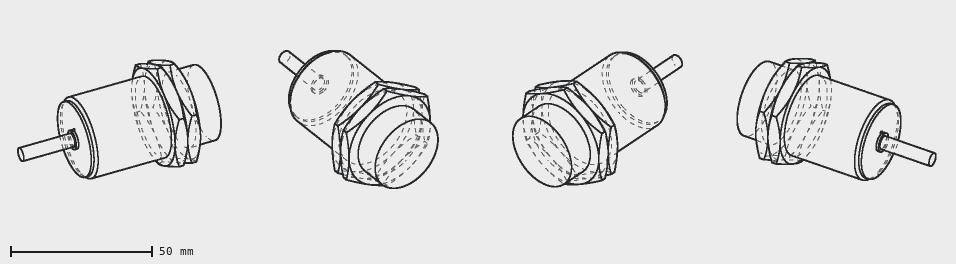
import cadquery as cq
import math

total_length = 72.0
head_diameter = 27.9
head_length = 10.0
nut_width = 36.0
nut_stack_length = 10.0
nut_count = 2
nut_chamfer_angle = 30.0
body_diameter = 30.1
rim_diameter = 27.9
rim_length = 1.1
body_end = 51.0
gland_diameter = 7.05
gland_length = 0.9
cable_diameter = 5.0
indicator_diameter = 1.0
indicator_offset = 4.1

nut_thickness = nut_stack_length / nut_count
nut_corner_diameter = nut_width / math.cos(math.radians(30))
body_chamfer = (body_diameter - rim_diameter) / 2


def cylinder(diameter, start, length):
    """Cylinder along -Y, starting the given distance behind the sensing face."""
    return (
        cq.Workplane("XZ", origin=(0, -start, 0))
        .circle(diameter / 2)
        .extrude(length)
    )


def hex_nut(start):
    """Hexagonal nut with points up and down and its corners turned off conically on both faces."""
    face_radius = nut_width / 2
    corner_radius = nut_corner_diameter / 2
    drop = (corner_radius - face_radius) * math.tan(math.radians(nut_chamfer_angle))
    hexagon = (
        cq.Workplane("XZ", origin=(0, -start, 0))
        .transformed(rotate=(0, 0, 30))
        .polygon(6, nut_corner_diameter)
        .extrude(nut_thickness)
    )
    turned_envelope = (
        cq.Workplane("XY")
        .polyline([
            (0, -start),
            (face_radius, -start),
            (corner_radius, -start - drop),
            (corner_radius, -start - nut_thickness + drop),
            (face_radius, -start - nut_thickness),
            (0, -start - nut_thickness),
        ])
        .close()
        .revolve(360, (0, 0, 0), (0, 1, 0))
    )
    return hexagon.intersect(turned_envelope)


nuts_end = head_length + nut_stack_length
body_length = body_end - rim_length - nuts_end
body = cylinder(body_diameter, nuts_end, body_length).faces("<Y").chamfer(body_chamfer)
result = cylinder(head_diameter, 0, body_end).union(body)

for index in range(nut_count):
    result = result.union(hex_nut(head_length + index * nut_thickness))

result = result.union(cylinder(gland_diameter, body_end, gland_length))
result = result.union(cylinder(cable_diameter, body_end, total_length - body_end))
indicator = cq.Workplane("XY", origin=(0, -body_end, indicator_offset)).sphere(indicator_diameter / 2)
result = result.union(indicator)